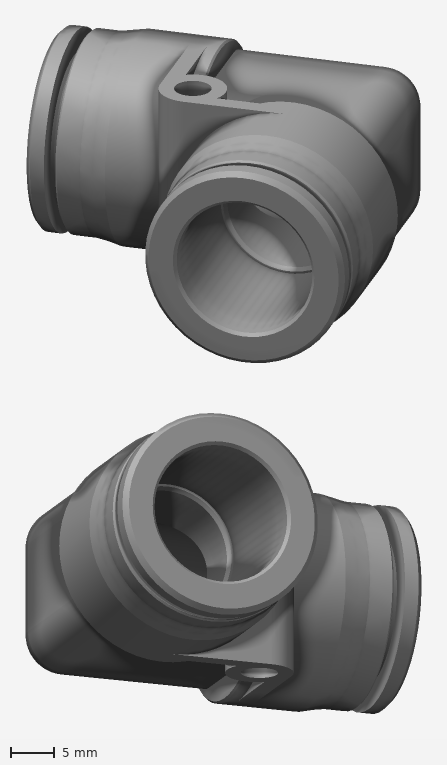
import cadquery as cq


leg_radius = 12.5
mouth_radius = 11.9
collar_start = 12.3
taper_start = 22.35
taper_end = 25.5
leg_end = 28.5
leg_edge_chamfer = 0.22

overall_length = 44.5
collet_end = overall_length - leg_radius
flange_thickness = 2.22
flange_radius = mouth_radius
flange_chamfer = 0.6
neck_radius = 9.12
neck_flare_length = 0.35
neck_flare = 0.15
tube_radius = 8.05
tube_mouth_chamfer = 0.35

tube_stop = 14.25
passage_radius = 7.4
passage_chamfer = 0.4

block_half_width = 9.7
block_fillet = 4.55
block_reach = taper_start

lug_offset = 12.0
lug_radius = 3.9
lug_hole_radius = 2.15
lug_wall = 2.05
lug_height = 2 * leg_radius


def revolve_about_x(profile):
    """Solid of revolution about X from (distance, radius) points, running along -X."""
    points = [(-distance, radius) for distance, radius in profile]
    return cq.Workplane("XY").polyline(points).close().revolve(360, (0, 0, 0), (1, 0, 0))


def on_each_leg(body):
    """Copies of a body of the -X leg for both legs; a half turn about X = Y swaps the legs."""
    return [body.rotate((0, 0, 0), (1, 1, 0), angle) for angle in (0, 180)]


def make_leg():
    return revolve_about_x([
        (collar_start, 0),
        (collar_start, leg_radius - leg_edge_chamfer),
        (collar_start + leg_edge_chamfer, leg_radius),
        (taper_start, leg_radius),
        (taper_end, mouth_radius),
        (leg_end - leg_edge_chamfer, mouth_radius),
        (leg_end, mouth_radius - leg_edge_chamfer),
        (leg_end, 0),
    ])


def make_elbow_block():
    """L-shaped block with rounded outer edges; its ends are buried in the legs."""
    w = block_half_width
    end = -block_reach
    outline = [(end, w), (w, w), (w, end), (-w, end), (-w, -w), (end, -w)]
    block = cq.Workplane("XY").workplane(offset=-w).polyline(outline).close().extrude(2 * w)
    outer_corner = cq.selectors.NearestToPointSelector((w, w, 0))
    return block.faces("<Z or >Z").edges().add(block.edges(outer_corner)).fillet(block_fillet)


def make_lug():
    """Screw boss with two walls that reach the leg axes."""
    outer = -lug_offset - lug_radius
    inner = outer + lug_wall
    plane = cq.Workplane("XY").workplane(offset=-lug_height / 2)
    walls = (
        plane.moveTo(outer, 0)
        .lineTo(outer, -lug_offset)
        .radiusArc((-lug_offset, outer), -lug_radius)
        .lineTo(0, outer)
        .lineTo(0, inner)
        .lineTo(inner, inner)
        .lineTo(inner, 0)
        .close()
        .extrude(lug_height)
    )
    boss = plane.center(-lug_offset, -lug_offset).circle(lug_radius).extrude(lug_height)
    return walls.union(boss)


def make_leg_cavity():
    """Seat of the collet neck, then the shoulder and the passage down to the elbow."""
    return revolve_about_x([
        (0, 0),
        (0, passage_radius),
        (tube_stop - passage_chamfer, passage_radius),
        (tube_stop, passage_radius + passage_chamfer),
        (tube_stop, neck_radius),
        (leg_end, neck_radius),
        (leg_end, 0),
    ])


def make_screw_hole():
    hole = cq.Workplane("XY").center(-lug_offset, -lug_offset).circle(lug_hole_radius)
    return hole.extrude(lug_height / 2, both=True)


def make_housing():
    body = make_elbow_block().union(make_lug())
    for leg in on_each_leg(make_leg()):
        body = body.union(leg)
    for cavity in on_each_leg(make_leg_cavity()):
        body = body.cut(cavity)
    rounded_corner = cq.Workplane("XY").sphere(passage_radius)
    return body.cut(rounded_corner).cut(make_screw_hole())


def make_collet():
    flange_start = collet_end - flange_thickness
    return revolve_about_x([
        (tube_stop, tube_radius),
        (tube_stop, neck_radius),
        (flange_start - neck_flare_length, neck_radius),
        (flange_start, neck_radius + neck_flare),
        (flange_start, flange_radius),
        (collet_end - flange_chamfer, flange_radius),
        (collet_end, flange_radius - flange_chamfer),
        (collet_end, tube_radius + tube_mouth_chamfer),
        (collet_end - tube_mouth_chamfer, tube_radius),
    ])


housing = make_housing()
collets = on_each_leg(make_collet())

result = cq.Compound.makeCompound([housing.val(), *[collet.val() for collet in collets]])